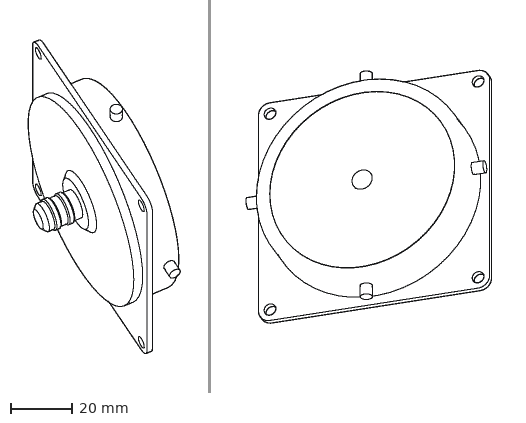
import cadquery as cq

overall_span = 82.0
overall_depth = 33.2

drum_diameter = 74.0
drum_edge_radius = 1.0
boss_diameter = 64.0
boss_height = 0.25
back_to_drum_front = 17.4

flange_side = 80.0
flange_corner_radius = 4.0
flange_thickness = 2.05
back_to_flange_rear = 12.05
mount_hole_diameter = 4.0
mount_hole_spacing = flange_side - 2 * flange_corner_radius

hub_base_diameter = 22.0
hub_height = 2.0
hub_tip_diameter = hub_base_diameter - 2 * hub_height
stem_diameter = 10.0
bore_diameter = 7.0
barb_diameter = 11.0
barb_land = 1.5
barb_height = (barb_diameter - stem_diameter) / 2
barb_pitch = 4.9
barb_count = 2
hub_to_first_barb = 2.95

pin_diameter = 4.0
pin_seat_depth = 2.95
back_to_pin_axis = 4.3
pin_angles = (0, 90, 180, 270)

back_y = overall_depth / 2
drum_back_y = back_y - boss_height
pin_y = back_y - back_to_pin_axis
flange_rear_y = back_y - back_to_flange_rear
drum_front_y = back_y - back_to_drum_front
hub_tip_y = drum_front_y - hub_height
spout_tip_y = -overall_depth / 2

pin_outer = overall_span / 2
pin_inner = drum_diameter / 2 - pin_seat_depth


def plane_facing_front(y):
    """XZ plane at the given Y, so that extrusion runs toward -Y."""
    return cq.Workplane("XZ", origin=(0, y, 0))


def disc(diameter, start_y, end_y):
    return plane_facing_front(start_y).circle(diameter / 2).extrude(start_y - end_y)


def make_drum():
    drum = disc(drum_diameter, drum_back_y, drum_front_y).faces(">Y").edges().fillet(drum_edge_radius)
    return drum.union(disc(boss_diameter, back_y, drum_back_y))


def make_flange():
    flange = plane_facing_front(flange_rear_y).rect(flange_side, flange_side).extrude(flange_thickness)
    flange = flange.edges("|Y").fillet(flange_corner_radius)
    holes = (
        plane_facing_front(flange_rear_y)
        .rect(mount_hole_spacing, mount_hole_spacing, forConstruction=True)
        .vertices()
        .circle(mount_hole_diameter / 2)
        .extrude(flange_thickness)
    )
    return flange.cut(holes)


def make_spout():
    """Hub cone and barbed stem, as one revolved half profile of (radius, y) points."""
    stem_radius = stem_diameter / 2
    tip_chamfer = (stem_diameter - bore_diameter) / 2
    points = [
        (0, drum_front_y),
        (hub_base_diameter / 2, drum_front_y),
        (hub_tip_diameter / 2, hub_tip_y),
        (stem_radius, hub_tip_y),
    ]
    for i in range(barb_count):
        barb_start_y = hub_tip_y - hub_to_first_barb - i * barb_pitch
        land_start_y = barb_start_y - barb_height
        land_end_y = land_start_y - barb_land
        points += [
            (stem_radius, barb_start_y),
            (barb_diameter / 2, land_start_y),
            (barb_diameter / 2, land_end_y),
            (stem_radius, land_end_y - barb_height),
        ]
    points += [
        (stem_radius, spout_tip_y + tip_chamfer),
        (bore_diameter / 2, spout_tip_y),
        (0, spout_tip_y),
    ]
    return cq.Workplane("XY").polyline(points).close().revolve(360, (0, 0, 0), (0, 1, 0))


def make_pin(angle):
    """Radial pin along +X, turned about the Y axis by the given angle."""
    pin = (
        cq.Workplane("YZ", origin=(pin_inner, pin_y, 0))
        .circle(pin_diameter / 2)
        .extrude(pin_outer - pin_inner)
    )
    return pin.rotate((0, 0, 0), (0, 1, 0), angle)


def make_housing(pins):
    housing = make_drum().union(make_flange()).union(make_spout())
    housing = housing.cut(disc(bore_diameter, back_y, spout_tip_y))
    for pin in pins:
        housing = housing.cut(pin)
    return housing


pins = [make_pin(angle) for angle in pin_angles]
housing = make_housing(pins)

result = cq.Compound.makeCompound([housing.solids().val(), *[pin.val() for pin in pins]])